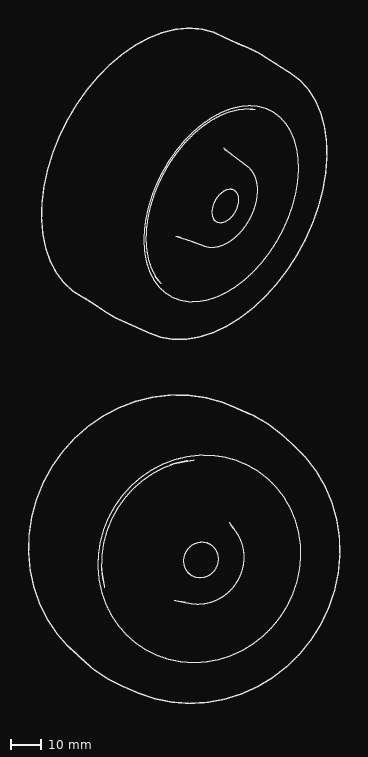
import cadquery as cq

crown_radius = 50.0
tread_edge_radius = 49.0
tread_half_width = 18.0
tread_fillet = 2.0

rim_radius = 35.0
hub_half_length = 20.0
hub_end_radius = 15.0
hub_root_radius = 17.0
rim_mouth_radius = 33.7
rim_root_radius = 30.3
web_half_thickness = 4.0
bore_radius = 6.0
lip_fillet = 1.0
web_fillet = 2.0


def revolve_about_x(profile):
    """Turn a closed XZ profile (X axial, Z radial) a full turn about the X axis."""
    return profile.close().revolve(360, (0, 0, 0), (1, 0, 0))


def circles_at(radius, axial_offset):
    """Select the circular edges of one radius lying at both +X and -X offsets."""
    tolerance = 0.01

    def matches(edge):
        box = edge.BoundingBox()
        on_plane = box.xlen < tolerance and abs(abs(box.center.x) - axial_offset) < tolerance
        return on_plane and edge.geomType() == "CIRCLE" and abs(edge.radius() - radius) < tolerance

    return matches


def fillet_circles(body, radius, axial_offset, fillet_radius):
    """Round the matching pair of circular edges, one on each side of the wheel."""
    matches = circles_at(radius, axial_offset)
    edges = [edge for edge in body.edges().vals() if matches(edge)]
    return body.newObject(edges).fillet(fillet_radius)


def make_tread():
    profile = (
        cq.Workplane("XZ")
        .moveTo(-tread_half_width, rim_radius)
        .lineTo(-tread_half_width, tread_edge_radius)
        .lineTo(0, crown_radius)
        .lineTo(tread_half_width, tread_edge_radius)
        .lineTo(tread_half_width, rim_radius)
    )
    return fillet_circles(revolve_about_x(profile), tread_edge_radius, tread_half_width, tread_fillet)


def make_core():
    left_side = [
        (-hub_half_length, bore_radius),
        (-hub_half_length, hub_end_radius),
        (-web_half_thickness, hub_root_radius),
        (-web_half_thickness, rim_root_radius),
        (-tread_half_width, rim_mouth_radius),
        (-tread_half_width, rim_radius),
    ]
    right_side = [(-axial, radial) for axial, radial in reversed(left_side)]
    core = revolve_about_x(cq.Workplane("XZ").polyline(left_side + right_side))
    core = fillet_circles(core, hub_end_radius, hub_half_length, lip_fillet)
    core = fillet_circles(core, rim_mouth_radius, tread_half_width, lip_fillet)
    core = fillet_circles(core, hub_root_radius, web_half_thickness, web_fillet)
    return fillet_circles(core, rim_root_radius, web_half_thickness, web_fillet)


tread = make_tread()
core = make_core()
result = cq.Compound.makeCompound([tread.val(), core.val()])